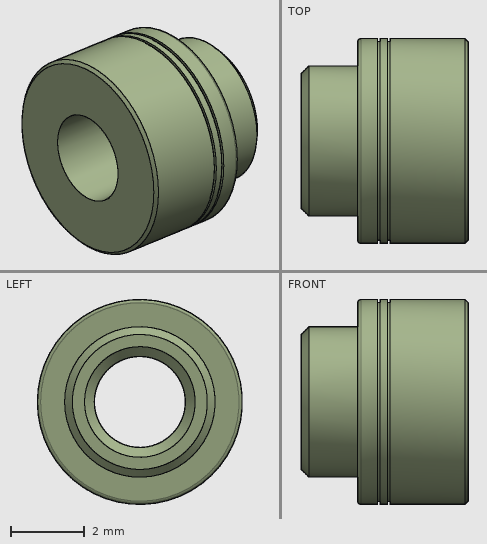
import cadquery as cq

total_length = 4.53
neck_length = 1.53

body_diameter = 5.56
neck_diameter = 4.08
bore_diameter = 2.46
bore_mouth_diameter = 3.0

groove_count = 2
groove_width = 0.07
groove_depth = 0.08
groove_pitch = 0.27
first_groove_offset = 0.54

neck_chamfer = 0.21
shoulder_fillet = 0.09
rear_chamfer = 0.09
bore_mouth_depth = (bore_mouth_diameter - bore_diameter) / 2

neck_face_x = 0.0
shoulder_x = neck_face_x + neck_length


def cylinder(start_x, length, diameter):
    """Solid cylinder along +X starting at start_x."""
    return cq.Workplane("YZ", origin=(start_x, 0, 0)).circle(diameter / 2).extrude(length)


def make_neck():
    """Narrow spigot with a chamfered leading edge."""
    neck = cylinder(neck_face_x, neck_length, neck_diameter)
    return neck.faces("<X").edges().chamfer(neck_chamfer)


def make_body():
    """Wide cylinder, rounded at the shoulder and chamfered at the rear."""
    body = cylinder(shoulder_x, total_length - neck_length, body_diameter)
    body = body.faces("<X").edges().fillet(shoulder_fillet)
    return body.faces(">X").edges().chamfer(rear_chamfer)


def make_groove(start_x):
    """Ring that cuts one narrow groove around the body."""
    ring = cylinder(start_x, groove_width, body_diameter + 2 * groove_depth)
    return ring.cut(cylinder(start_x, groove_width, body_diameter - 2 * groove_depth))


def make_bore():
    """Through bore with a conical lead-in at the neck end."""
    bore = cylinder(neck_face_x, total_length, bore_diameter)
    lead_in = (
        cq.Workplane("YZ", origin=(neck_face_x, 0, 0))
        .circle(bore_mouth_diameter / 2)
        .workplane(offset=bore_mouth_depth)
        .circle(bore_diameter / 2)
        .loft(ruled=True)
    )
    return bore.union(lead_in)


part = make_neck().union(make_body())
for index in range(groove_count):
    part = part.cut(make_groove(shoulder_x + first_groove_offset + index * groove_pitch))

result = part.cut(make_bore())